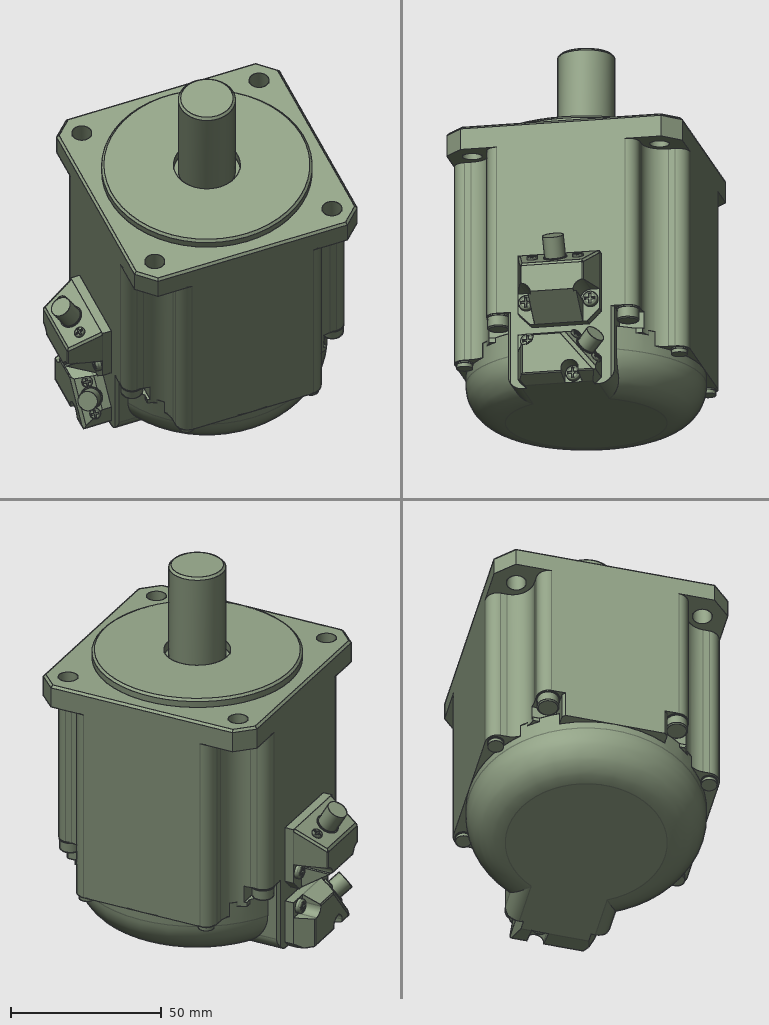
import cadquery as cq
import math

SIDE = 80.0
HALF = SIDE / 2
FLANGE_TOP = 93.1
FLANGE_THICK = 8.0
FLANGE_BOTTOM = FLANGE_TOP - FLANGE_THICK
FLANGE_CORNER = 6.0
EDGE_CHAMFER = 0.8
PILOT_DIA = 70.0
PILOT_HEIGHT = 3.0
PILOT_TOP = FLANGE_TOP + PILOT_HEIGHT
SHAFT_DIA = 19.0
SHAFT_LENGTH = 35.0
SEAL_BORE_DIA = 22.2
BOLT_CIRCLE = 90.0
BOLT_HOLE_DIA = 6.6
BOLT_OFFSET = BOLT_CIRCLE / 2 * math.sqrt(0.5)

BODY_BOTTOM = FLANGE_TOP - 72.0
POCKET_WALL = 26.0
POCKET_INNER_RADIUS = 7.5
POCKET_OUTER_RADIUS = 4.2

COVER_ROUND = FLANGE_TOP - 80.0
SKIRT_BOTTOM = FLANGE_TOP - 77.0
SKIRT_HALF_WIDTH = 27.3
NIB_BOTTOM = 19.5
NIB_INNER_X = 23.9
NIB_OUTER_X = 27.7
NIB_Y = 32.1
BLOCK_HALF_WIDTH = 18.0
BLOCK_CHAMFER = 1.0
BLOCK_ROUND = 5.0

RECESS_TOP = 27.0
RECESS_Y = 31.2
RECESS_INNER_X = BLOCK_HALF_WIDTH - BLOCK_CHAMFER
RECESS_OUTER_X = 28.0
BOLT_X = 22.0
BOLT_Y = 36.0
WASHER_DIA = 7.8
WASHER_THICK = 0.5
HEAD_DIA = 7.3
HEAD_BOTTOM = 22.6
HEAD_CHAMFER = 0.4

SKIRT_SCREW_X = 36.5
SKIRT_SCREW_Y = 22.3
SKIRT_SCREW_DIA = 5.3
SKIRT_SCREW_HEIGHT = 1.8
SKIRT_WASHER_DIA = 5.6

BASE_HALF_WIDTH = 13.8
BASE_THICK = 3.2
BASE_Y = -HALF - BASE_THICK
SCREW_DIA = 5.0
SCREW_HEIGHT = 1.8
LID_SCREW_DIA = 3.6
LID_SCREW_HEIGHT = 0.8
HOOD_EDGE_CHAMFER = 0.35
COLLAR_MARGIN = 0.4
COLLAR_HEIGHT = 0.3

POWER_TOP = 45.4
POWER_BASE_CHAMFER = 4.1
POWER_FRONT_Y = -54.5
POWER_FRONT_HALF_WIDTH = 10.7
POWER_SLOPE = math.radians(30)
POWER_FRONT_BOTTOM = 29.0
POWER_NECK_HALF_WIDTH = 8.2
POWER_LID_CHAMFER = 0.7
POWER_SCREW_X = 10.9
POWER_SCREW_Z = 28.5
POWER_WELL_RADIUS = 3.6
POWER_LID_SCREW_X = 7.75
POWER_CABLE_DIA = 7.0
POWER_CABLE_TIP_Y = -55.5
POWER_CABLE_TIP_Z = 48.7

ENCODER_TOP = 17.8
ENCODER_FRONT_Y = -50.0
ENCODER_FRONT_LEFT = -11.2
ENCODER_FRONT_TOP = 15.6
ENCODER_FRONT_BOTTOM = 1.8
ENCODER_BASE_CHAMFER = 2.2
ENCODER_LID_X = 6.3
ENCODER_LID_ANGLE = math.radians(39.5)
ENCODER_LID_TILT = math.radians(30)
ENCODER_LID_CENTER = 7.0
ENCODER_LID_DEPTH = 2.3
ENCODER_LID_CHAMFER = 1.05
ENCODER_LID_SCREW_SPACING = 11.0
ENCODER_CABLE_DIA = 6.6
ENCODER_CABLE_LENGTH = 5.8
TOP_SCREW_X = -10.2
TOP_SCREW_Z = 15.1
TOP_WELL_RADIUS = 3.0
BOTTOM_SCREW_X = 5.1
BOTTOM_SCREW_Z = 2.9
BOTTOM_WELL_RADIUS = 2.9


def box(x_range, y_range, z_range):
    """Axis-aligned box from (low, high) pairs."""
    size = [high - low for low, high in (x_range, y_range, z_range)]
    corner = (x_range[0], y_range[0], z_range[0])
    return cq.Workplane("XY").box(*size, centered=False).translate(corner)


def cylinder(diameter, z_low, z_high, x=0.0, y=0.0):
    """Vertical cylinder."""
    return cq.Workplane("XY", origin=(x, y, z_low)).circle(diameter / 2).extrude(z_high - z_low)


def front_plane(y):
    """Plane facing -Y, with local x along +X and local y along +Z."""
    return cq.Plane(origin=(0, y, 0), xDir=(1, 0, 0), normal=(0, -1, 0))


def cross_screw(plane, diameter, height):
    """Round screw head with a cross recess, standing on a plane."""
    embed = 0.3
    slot_length = 0.7 * diameter
    slot_width = 0.16 * diameter
    slot_depth = 0.5 * height
    head = cq.Workplane(plane).workplane(offset=-embed).circle(diameter / 2).extrude(embed + height)
    head = head.faces(cq.selectors.DirectionMinMaxSelector(plane.zDir, True)).edges().fillet(0.4 * height)
    slot_floor = cq.Workplane(plane).workplane(offset=height - slot_depth)
    for length, width in ((slot_length, slot_width), (slot_width, slot_length)):
        head = head.cut(slot_floor.rect(length, width).extrude(slot_depth))
    return head


def cable(plane, diameter, length):
    """Cable stub with a short collar, standing on a plane."""
    embed = 0.5
    start = cq.Workplane(plane).workplane(offset=-embed)
    stub = start.circle(diameter / 2).extrude(embed + length)
    collar = start.circle(diameter / 2 + COLLAR_MARGIN).extrude(embed + COLLAR_HEIGHT)
    return stub.union(collar)


def make_flange():
    flange = box((-HALF, HALF), (-HALF, HALF), (FLANGE_BOTTOM, FLANGE_TOP))
    flange = flange.edges("|Z").chamfer(FLANGE_CORNER).faces(">Z").edges().chamfer(EDGE_CHAMFER)
    pilot = cylinder(PILOT_DIA, FLANGE_TOP, PILOT_TOP).faces(">Z").edges().chamfer(EDGE_CHAMFER)
    return flange.union(pilot).cut(cylinder(SEAL_BORE_DIA, FLANGE_TOP, PILOT_TOP))


def make_shaft():
    shaft = cylinder(SHAFT_DIA, FLANGE_BOTTOM, FLANGE_TOP + SHAFT_LENGTH)
    return shaft.faces(">Z").edges().chamfer(EDGE_CHAMFER)


def bolt_holes():
    holes = cq.Workplane("XY", origin=(0, 0, FLANGE_BOTTOM))
    holes = holes.rect(2 * BOLT_OFFSET, 2 * BOLT_OFFSET, forConstruction=True).vertices()
    return holes.circle(BOLT_HOLE_DIA / 2).extrude(FLANGE_THICK)


def body_section(z_low, z_high):
    """Body cross-section extruded between two heights."""
    section = box((-HALF, HALF), (-HALF, HALF), (z_low, z_high))
    pocket_size = HALF - POCKET_WALL
    pocket_center = POCKET_WALL + pocket_size / 2
    for sx in (-1, 1):
        for sy in (-1, 1):
            pocket = cq.Workplane("XY", origin=(sx * pocket_center, sy * pocket_center, z_low))
            section = section.cut(pocket.rect(pocket_size, pocket_size).extrude(z_high - z_low))
    reach = (POCKET_WALL + HALF) / 2
    inner_zone = cq.selectors.BoxSelector((-reach, -reach, z_low), (reach, reach, z_high))
    section = section.edges("|Z").edges(inner_zone).fillet(POCKET_INNER_RADIUS)
    rims = section.faces("<X or >X or <Y or >Y").edges("|Z")
    return rims.fillet(POCKET_OUTER_RADIUS)


def make_cover():
    """Round cover with its skirts, the corner nibs and the connector block."""
    cover = cylinder(SIDE, 0, BODY_BOTTOM).faces("<Z").edges().fillet(COVER_ROUND)
    side_zone = box((-HALF, HALF), (-SKIRT_HALF_WIDTH, SKIRT_HALF_WIDTH), (SKIRT_BOTTOM, BODY_BOTTOM))
    cover = cover.union(body_section(SKIRT_BOTTOM, BODY_BOTTOM).intersect(side_zone))
    nib_section = body_section(NIB_BOTTOM, BODY_BOTTOM)
    for x_range in ((-NIB_OUTER_X, -NIB_INNER_X), (NIB_INNER_X, NIB_OUTER_X)):
        nib_zone = box(x_range, (-NIB_Y, NIB_Y), (NIB_BOTTOM, BODY_BOTTOM))
        cover = cover.union(nib_section.intersect(nib_zone))
    width = (-BLOCK_HALF_WIDTH, BLOCK_HALF_WIDTH)
    block = box(width, (-HALF, 0), (0, RECESS_TOP))
    rounded = block.faces("<Z").edges("|Y").fillet(BLOCK_ROUND)
    block = block.faces("<Y").edges("|Z").chamfer(BLOCK_CHAMFER).intersect(rounded)
    tongue = box(width, (0, HALF), (SKIRT_BOTTOM, RECESS_TOP))
    tongue = tongue.faces(">Y").edges("|Z").chamfer(BLOCK_CHAMFER)
    return cover.union(block).union(tongue)


def cut_recesses(body):
    """Clear the body around the cover bolts."""
    for x_range in ((-RECESS_OUTER_X, -RECESS_INNER_X), (RECESS_INNER_X, RECESS_OUTER_X)):
        for y_range in ((-HALF, -RECESS_Y), (RECESS_Y, HALF)):
            body = body.cut(box(x_range, y_range, (BODY_BOTTOM, RECESS_TOP)))
    return body


def add_cover_screws(motor):
    for sx in (-1, 1):
        for sy in (-1, 1):
            x, y = sx * BOLT_X, sy * BOLT_Y
            washer = cylinder(WASHER_DIA, RECESS_TOP - WASHER_THICK, RECESS_TOP, x, y)
            head = cylinder(HEAD_DIA, HEAD_BOTTOM, RECESS_TOP, x, y)
            head = head.faces("<Z").edges().chamfer(HEAD_CHAMFER)
            screw = cylinder(SKIRT_SCREW_DIA, SKIRT_BOTTOM - SKIRT_SCREW_HEIGHT, SKIRT_BOTTOM,
                             sx * SKIRT_SCREW_X, sy * SKIRT_SCREW_Y)
            skirt_washer = cylinder(SKIRT_WASHER_DIA, SKIRT_BOTTOM - WASHER_THICK, SKIRT_BOTTOM,
                                    sx * SKIRT_SCREW_X, sy * SKIRT_SCREW_Y)
            motor = motor.union(washer).union(head).union(screw).union(skirt_washer)
    return motor


def make_power_connector():
    """Upper connector: tapered hood with a sloping lid, cable and screws."""
    width = (-BASE_HALF_WIDTH, BASE_HALF_WIDTH)
    base = box(width, (BASE_Y, -HALF), (BODY_BOTTOM, POWER_TOP))
    base = base.faces("<Z").edges("|Y").chamfer(POWER_BASE_CHAMFER)

    lid_drop = (BASE_Y - POWER_FRONT_Y) * math.tan(POWER_SLOPE)
    profile = [
        (BASE_Y, BODY_BOTTOM),
        (BASE_Y, POWER_TOP),
        (POWER_FRONT_Y, POWER_TOP - lid_drop),
        (POWER_FRONT_Y, POWER_FRONT_BOTTOM),
    ]
    hood = cq.Workplane("YZ").polyline(profile).close().extrude(BASE_HALF_WIDTH, both=True)
    taper = cq.Workplane("XY", origin=(0, 0, BODY_BOTTOM)).polyline([
        (-BASE_HALF_WIDTH, BASE_Y),
        (-POWER_FRONT_HALF_WIDTH, POWER_FRONT_Y),
        (POWER_FRONT_HALF_WIDTH, POWER_FRONT_Y),
        (BASE_HALF_WIDTH, BASE_Y),
    ]).close().extrude(POWER_TOP - BODY_BOTTOM)
    hood = hood.intersect(taper)
    hood = hood.faces(">Z").edges("not >Z").chamfer(POWER_LID_CHAMFER)

    hood = hood.faces("<Y").edges("not |X").chamfer(HOOD_EDGE_CHAMFER)

    depth_range = (POWER_FRONT_Y, BASE_Y)
    upper_zone = box(width, depth_range, (POWER_SCREW_Z, POWER_TOP))
    well_top = POWER_SCREW_Z + POWER_WELL_RADIUS
    for side in (-1, 1):
        well = cq.Workplane(front_plane(BASE_Y)).center(side * POWER_SCREW_X, POWER_SCREW_Z)
        well = well.circle(POWER_WELL_RADIUS).extrude(BASE_Y - POWER_FRONT_Y)
        hood = hood.cut(well.intersect(upper_zone))
        x_range = sorted((side * POWER_NECK_HALF_WIDTH, side * BASE_HALF_WIDTH))
        hood = hood.cut(box(x_range, depth_range, (BODY_BOTTOM, POWER_SCREW_Z)))
        outer = sorted((side * POWER_SCREW_X, side * BASE_HALF_WIDTH))
        hood = hood.cut(box(outer, depth_range, (POWER_SCREW_Z, well_top)))
    connector = base.union(hood)

    normal = cq.Vector(0, -math.sin(POWER_SLOPE), math.cos(POWER_SLOPE))
    end_y = POWER_CABLE_TIP_Y + POWER_CABLE_DIA / 2 * math.cos(POWER_SLOPE)
    cable_end = cq.Vector(0, end_y, POWER_CABLE_TIP_Z)
    cable_length = (cable_end - cq.Vector(0, BASE_Y, POWER_TOP)).dot(normal)
    lid_center = cable_end - normal * cable_length
    lid_plane = cq.Plane(lid_center, xDir=(1, 0, 0), normal=normal)
    connector = connector.union(cable(lid_plane, POWER_CABLE_DIA, cable_length))
    for side in (-1, 1):
        spot = cq.Plane(lid_plane.toWorldCoords((side * POWER_LID_SCREW_X, 0, 0)), (1, 0, 0), normal)
        connector = connector.union(cross_screw(spot, LID_SCREW_DIA, LID_SCREW_HEIGHT))
        spot = cq.Plane((side * POWER_SCREW_X, BASE_Y, POWER_SCREW_Z), (1, 0, 0), (0, -1, 0))
        connector = connector.union(cross_screw(spot, SCREW_DIA, SCREW_HEIGHT))
    return connector


def make_encoder_connector():
    """Lower connector: drafted hood with a diagonal lid, cable and screws."""
    lid_out = (math.cos(ENCODER_LID_ANGLE), math.sin(ENCODER_LID_ANGLE))
    hood_depth = BASE_Y - ENCODER_FRONT_Y

    def outline(left, top, bottom, lid_inset):
        """Corner points for a hood whose lid line is moved inward by lid_inset."""
        right = BASE_HALF_WIDTH
        reach = ENCODER_LID_X * lid_out[0] + ENCODER_TOP * lid_out[1] - lid_inset
        lid_x = (reach - top * lid_out[1]) / lid_out[0]
        lid_z = (reach - right * lid_out[0]) / lid_out[1]
        return [(left, bottom), (left, top), (lid_x, top), (right, lid_z), (right, bottom)]

    base_outline = outline(-BASE_HALF_WIDTH, ENCODER_TOP, 0, 0)
    lid_draft = hood_depth * math.tan(ENCODER_LID_TILT)
    front_outline = outline(ENCODER_FRONT_LEFT, ENCODER_FRONT_TOP, ENCODER_FRONT_BOTTOM, lid_draft)
    base = cq.Workplane(front_plane(-HALF)).polyline(base_outline).close().extrude(BASE_THICK)
    hood = cq.Workplane(front_plane(BASE_Y)).polyline(base_outline).close()
    hood = hood.workplane(offset=hood_depth).polyline(front_outline).close().loft(ruled=True)
    lid_edge = cq.selectors.ParallelDirSelector(cq.Vector(lid_out[1], 0, -lid_out[0]))
    hood = hood.faces("<Y").edges(lid_edge).chamfer(ENCODER_LID_CHAMFER)
    hood = hood.faces("<Y").edges("<X or >Z or <Z").chamfer(HOOD_EDGE_CHAMFER)

    top_well = cq.Workplane(front_plane(BASE_Y)).center(TOP_SCREW_X, TOP_SCREW_Z)
    hood = hood.cut(top_well.circle(TOP_WELL_RADIUS).extrude(hood_depth))
    depth_range = (ENCODER_FRONT_Y, BASE_Y)
    hood = hood.cut(box((-BASE_HALF_WIDTH, TOP_SCREW_X), depth_range,
                        (TOP_SCREW_Z - TOP_WELL_RADIUS, ENCODER_TOP)))
    hood = hood.cut(box((-BASE_HALF_WIDTH, TOP_SCREW_X + TOP_WELL_RADIUS), depth_range,
                        (TOP_SCREW_Z, ENCODER_TOP)))
    bottom_well = cq.Workplane(front_plane(BASE_Y)).center(BOTTOM_SCREW_X, BOTTOM_SCREW_Z)
    hood = hood.cut(bottom_well.circle(BOTTOM_WELL_RADIUS).extrude(hood_depth))
    hood = hood.cut(box((BOTTOM_SCREW_X - BOTTOM_WELL_RADIUS, BOTTOM_SCREW_X + BOTTOM_WELL_RADIUS),
                        depth_range, (0, BOTTOM_SCREW_Z)))
    connector = base.union(hood)

    for side in (-1, 1):
        corner = cq.Workplane(front_plane(-HALF)).polyline([
            (side * BASE_HALF_WIDTH, 0),
            (side * (BASE_HALF_WIDTH - ENCODER_BASE_CHAMFER), 0),
            (side * BASE_HALF_WIDTH, ENCODER_BASE_CHAMFER),
        ]).close().extrude(BASE_THICK + hood_depth)
        connector = connector.cut(corner)

    along_lid = cq.Vector(lid_out[1], 0, -lid_out[0])
    normal = cq.Vector(
        lid_out[0] * math.cos(ENCODER_LID_TILT),
        -math.sin(ENCODER_LID_TILT),
        lid_out[1] * math.cos(ENCODER_LID_TILT))
    inset = ENCODER_LID_DEPTH * math.tan(ENCODER_LID_TILT)
    lid_center = cq.Vector(ENCODER_LID_X, BASE_Y - ENCODER_LID_DEPTH, ENCODER_TOP)
    lid_center = lid_center + along_lid * ENCODER_LID_CENTER
    lid_center = lid_center - cq.Vector(lid_out[0], 0, lid_out[1]) * inset
    lid_plane = cq.Plane(lid_center, along_lid, normal)
    connector = connector.union(cable(lid_plane, ENCODER_CABLE_DIA, ENCODER_CABLE_LENGTH))
    for side in (-1, 1):
        spot = lid_center + along_lid * (side * ENCODER_LID_SCREW_SPACING / 2)
        screw = cross_screw(cq.Plane(spot, along_lid, normal), LID_SCREW_DIA, LID_SCREW_HEIGHT)
        connector = connector.union(screw)
    for x, z in ((TOP_SCREW_X, TOP_SCREW_Z), (BOTTOM_SCREW_X, BOTTOM_SCREW_Z)):
        spot = cq.Plane((x, BASE_Y, z), (1, 0, 0), (0, -1, 0))
        connector = connector.union(cross_screw(spot, SCREW_DIA, SCREW_HEIGHT))
    return connector


motor = cut_recesses(body_section(BODY_BOTTOM, FLANGE_BOTTOM)).union(make_cover())
motor = motor.union(make_flange()).union(make_shaft()).cut(bolt_holes())
motor = add_cover_screws(motor)
result = motor.union(make_power_connector()).union(make_encoder_connector())